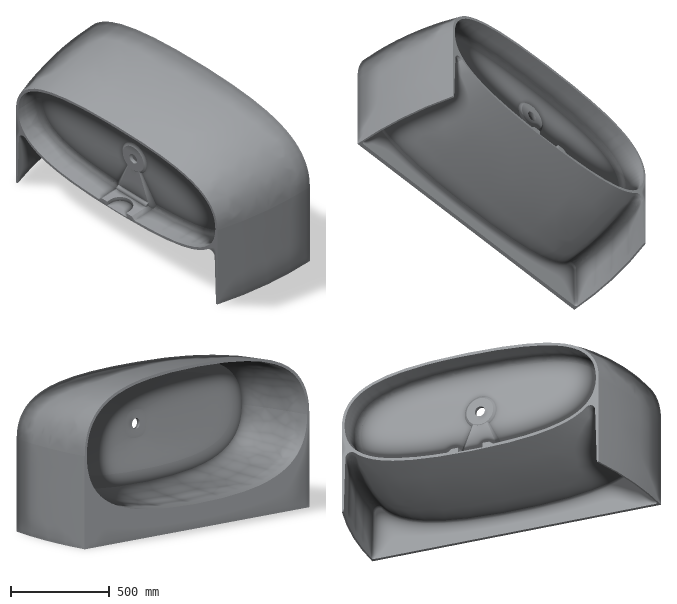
import cadquery as cq
import math


half_length = 800.0
tub_height = 580.0
tub_center_z = 480.0
half_width = 368.03

side_share = 1.263
crown_share = 0.224
crown_lift = 1.6 - side_share / 2

base_inset = 89.0
section_count = 5
side_radius = (tub_height**2 + base_inset**2) / (2 * base_inset)

wall_thickness = 15.0
floor_thickness = 10.0
deck_thickness = 20.0
deck_fillet = 10.0

skirt_thickness_at_wall = 10.0
skirt_thickness_at_tub = 20.0
skirt_taper_height = 310.0
skirt_fillet = 28.0

foot_width = 15.0
recess_depth = 147.0
recess_fillet = 25.0
floor_fall = 17.0

drain_face_y = 120.0
drain_base_radius = 87.0
drain_face_radius = 74.0
drain_hole_radius = 27.5

apron_face_y = 122.0
apron_edge_spread = 28.0
apron_half_width_at_drain = 38.0
apron_half_width_at_foot = 122.0
apron_drain_z = 415.0

pad_top_z = 234.0
pad_top_half_width = 105.0
pad_base_half_width = 150.0
pad_fillet = 18.0
notch_radius = 67.0
notch_center_y = 24.0
notch_sink = 6.0

base_half_length = half_length - base_inset
base_half_width = half_width - base_inset
drain_floor_y = recess_depth - floor_fall
foot_outer_z = tub_center_z - base_half_width
notch_floor_z = foot_outer_z + foot_width - notch_sink


def inset_at(y):
    """Inset of the outer side at height y: an arc that is upright at the rim."""
    drop = tub_height - y
    return side_radius - math.sqrt(side_radius**2 - drop**2)


def plane_at(y):
    return cq.Workplane("XZ", origin=(0, y, 0))


def half_oval(outline, semi_x, semi_z):
    """Half of the oval as one Bezier curve, from (semi_x, 0) over (0, semi_z) to (-semi_x, 0)."""
    shoulder_x = crown_share * semi_x
    side_z = tub_center_z + side_share * semi_z
    crown_z = tub_center_z + crown_lift * semi_z
    controls = [
        (semi_x, side_z),
        (shoulder_x, crown_z),
        (-shoulder_x, crown_z),
        (-semi_x, side_z),
        (-semi_x, tub_center_z),
    ]
    return outline.bezier(controls, includeCurrent=True)


def oval_wire(y, semi_x, semi_z):
    """Closed oval around the tub axis."""
    upper = half_oval(plane_at(y).moveTo(semi_x, tub_center_z), semi_x, semi_z)
    return half_oval(upper, -semi_x, -semi_z).wire().val()


def arch_wire(y):
    """Upper half of the oval, carried straight down to the wall."""
    semi_x = half_length - inset_at(y)
    semi_z = half_width - inset_at(y)
    outline = plane_at(y).moveTo(semi_x, 0).lineTo(semi_x, tub_center_z)
    return half_oval(outline, semi_x, semi_z).lineTo(-semi_x, 0).close().wire().val()


def loft(wires, ruled=False):
    return cq.Workplane(cq.Solid.makeLoft(wires, ruled))


def levels(bottom, top):
    return [bottom + (top - bottom) * i / (section_count - 1) for i in range(section_count)]


def outer_body():
    return loft([arch_wire(y) for y in levels(0, tub_height)])


def tub_body(bottom, top, thickness=0.0):
    """Tub shape between two heights, shrunk inwards by a thickness."""
    wires = []
    for y in levels(bottom, top):
        inset = inset_at(y) + thickness
        wires.append(oval_wire(y, half_length - inset, half_width - inset))
    return loft(wires)


def skirt_space():
    """Open space between the skirts, the tub and the deck."""
    deck_y = tub_height - deck_thickness
    taper = (skirt_thickness_at_tub - skirt_thickness_at_wall) / skirt_taper_height
    wires = []
    for y in levels(0, deck_y):
        wall_x = half_length - inset_at(y) - skirt_thickness_at_wall
        tub_x = wall_x - taper * tub_center_z
        corners = [(-wall_x, 0), (wall_x, 0), (tub_x, tub_center_z), (-tub_x, tub_center_z)]
        wires.append(plane_at(y).polyline(corners).close().val())
    space = loft(wires).cut(tub_body(0, tub_height)).solids("<Z")
    space = space.edges(">>Z").fillet(skirt_fillet)
    deck_edge = cq.selectors.NearestToPointSelector((0, deck_y, tub_center_z - half_width))
    return space.edges(deck_edge).fillet(deck_fillet)


def floor_fall_body(shift):
    """Shallow cone between the floor edge and the drain, moved by a shift along Y."""
    edge = foot_width + recess_fillet
    outline = oval_wire(recess_depth + shift, base_half_length - edge, base_half_width - edge)
    drain = oval_wire(drain_floor_y + shift, drain_face_radius, drain_face_radius)
    return loft([outline, drain], True)


def recess():
    rim = oval_wire(0, base_half_length - foot_width, base_half_width - foot_width)
    body = cq.Workplane(cq.Solid.extrudeLinear(rim, [], cq.Vector(0, recess_depth, 0)))
    return body.faces(">Y").edges().fillet(recess_fillet)


def drain_boss():
    """Conical disc around the drain, standing on the underside of the floor."""
    height = recess_depth - drain_face_y
    slope = (drain_base_radius - drain_face_radius) / (drain_floor_y - drain_face_y)
    root_radius = drain_face_radius + slope * height
    center = cq.Vector(0, drain_face_y, tub_center_z)
    axis = cq.Vector(0, 1, 0)
    return cq.Workplane(cq.Solid.makeCone(drain_face_radius, root_radius, height, center, axis))


def apron():
    """Raised trapezoid with sloping edges between the drain and the foot."""

    def outline(y, margin):
        drain_x = apron_half_width_at_drain + margin
        foot_x = apron_half_width_at_foot + margin
        corners = [
            (-foot_x, foot_outer_z),
            (foot_x, foot_outer_z),
            (drain_x, apron_drain_z),
            (-drain_x, apron_drain_z),
        ]
        return plane_at(y).polyline(corners).close().val()

    return loft([outline(apron_face_y, 0), outline(recess_depth, apron_edge_spread)], True)


def pad():
    """Flat-topped pad with sloping ends on the inside of the foot."""
    corners = [
        (-pad_base_half_width, foot_outer_z),
        (pad_base_half_width, foot_outer_z),
        (pad_top_half_width, pad_top_z),
        (-pad_top_half_width, pad_top_z),
    ]
    return plane_at(0).polyline(corners).close().extrude(-recess_depth)


def pipe_notch():
    """Round-ended notch through the pad, open at the base of the tub."""
    height = pad_top_z - notch_floor_z
    floor_plane = cq.Workplane("XY", origin=(0, 0, notch_floor_z))
    round_end = floor_plane.center(0, notch_center_y).circle(notch_radius).extrude(height)
    return round_end.union(floor_plane.rect(2 * notch_radius, 2 * notch_center_y).extrude(height))


def pad_corner():
    """Concave fillet between the pad top and the apron face."""
    start = cq.Workplane("YZ", origin=(-pad_top_half_width, 0, 0)).moveTo(apron_face_y, pad_top_z)
    profile = start.lineTo(apron_face_y - pad_fillet, pad_top_z).radiusArc(
        (apron_face_y, pad_top_z + pad_fillet), pad_fillet
    )
    return profile.close().extrude(2 * pad_top_half_width)


def underside_recess():
    """Recess under the floor, less everything that stands up inside it."""
    space = recess()
    for raised in (floor_fall_body(0), drain_boss(), apron(), pad(), pad_corner()):
        space = space.cut(raised)
    return space


def basin():
    """Inside of the tub, open at the rim, with its floor falling to the drain."""
    floor_y = recess_depth + floor_thickness
    return tub_body(floor_y, tub_height, wall_thickness).union(floor_fall_body(floor_thickness))


def drain_hole():
    return plane_at(0).center(0, tub_center_z).circle(drain_hole_radius).extrude(-tub_height)


result = outer_body()
for removed in (skirt_space(), underside_recess(), pipe_notch(), basin(), drain_hole()):
    result = result.cut(removed)